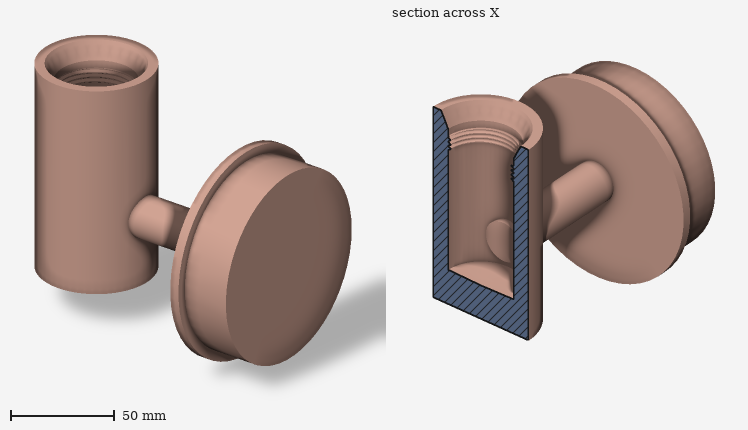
import cadquery as cq
import math


housing_diameter = 60
housing_height = 110
housing_bottom = -36
housing_top = housing_bottom + housing_height
mouth_diameter = 50
neck_diameter = 41
mouth_depth = 9
neck_depth = 4
neck_top = housing_top - mouth_depth
thread_top = neck_top - neck_depth
bore_diameter = 40.7
thread_crest_diameter = 37.92
thread_pitch = 2.5
thread_turns_below_neck = 3.3
thread_turns_trimmed = 0.5
thread_start_angle = -90
thread_crest_width = 0.5
thread_flank_angle = 30
thread_embed = 0.2

arm_diameter = 22
arm_inner_end = 17

floor_below_arm = 5
cavity_floor = -(arm_diameter / 2 + floor_below_arm)
floor_dip = 0.5

gap_to_plate = 57
plate_diameter = 110
plate_thickness = 5
plate_front = housing_diameter / 2 + gap_to_plate
plate_back = plate_front + plate_thickness
drum_diameter = 100
drum_thickness = 25


def x_cylinder(diameter, start, end):
    """Cylinder on the arm axis between two X positions."""
    return cq.Workplane("YZ", origin=(start, 0, 0)).circle(diameter / 2).extrude(end - start)


def make_cavity():
    """Revolved cavity: conical mouth, neck and a bore with a shallow conical floor."""
    bore_radius = bore_diameter / 2
    neck_radius = neck_diameter / 2
    return (
        cq.Workplane("XZ")
        .moveTo(0, housing_top)
        .lineTo(mouth_diameter / 2, housing_top)
        .lineTo(neck_radius, neck_top)
        .lineTo(neck_radius, thread_top)
        .lineTo(bore_radius, thread_top)
        .lineTo(bore_radius, cavity_floor)
        .lineTo(0, cavity_floor - floor_dip)
        .close()
        .revolve(360, (0, 0, 0), (0, 1, 0))
    )


def make_thread():
    """Helical ridge of trapezoid section inside the bore, cut off flat at the bottom of the neck.

    Its root reaches a little into the wall so that it joins the housing along its whole length.
    """
    crest_radius = thread_crest_diameter / 2
    root_radius = bore_diameter / 2 + thread_embed
    crest_half = thread_crest_width / 2
    root_half = crest_half + (root_radius - crest_radius) * math.tan(math.radians(thread_flank_angle))
    turns = thread_turns_below_neck + thread_turns_trimmed
    start = thread_top - thread_turns_below_neck * thread_pitch

    helix = cq.Wire.makeHelix(thread_pitch, turns * thread_pitch, root_radius, center=cq.Vector(0, 0, start))
    ridge = (
        cq.Workplane("XZ", origin=(0, 0, start))
        .polyline([
            (root_radius, -root_half),
            (crest_radius, -crest_half),
            (crest_radius, crest_half),
            (root_radius, root_half),
        ])
        .close()
        .sweep(cq.Workplane(helix), isFrenet=True)
    )
    above_thread = (
        cq.Workplane("XY", origin=(0, 0, thread_top))
        .circle(housing_diameter / 2)
        .extrude(housing_height)
    )
    return ridge.rotate((0, 0, 0), (0, 0, 1), thread_start_angle).cut(above_thread)


def make_housing():
    """Round housing with its threaded cavity and the hole that takes the arm."""
    body = (
        cq.Workplane("XY", origin=(0, 0, housing_bottom))
        .circle(housing_diameter / 2)
        .extrude(housing_height)
    )
    arm_hole = x_cylinder(arm_diameter, 0, housing_diameter)
    return body.cut(make_cavity()).cut(arm_hole).union(make_thread())


housing = make_housing()
arm = x_cylinder(arm_diameter, arm_inner_end, plate_front)
plate = x_cylinder(plate_diameter, plate_front, plate_back)
drum = x_cylinder(drum_diameter, plate_back, plate_back + drum_thickness)

result = cq.Compound.makeCompound([housing.val(), arm.val(), plate.val(), drum.val()])